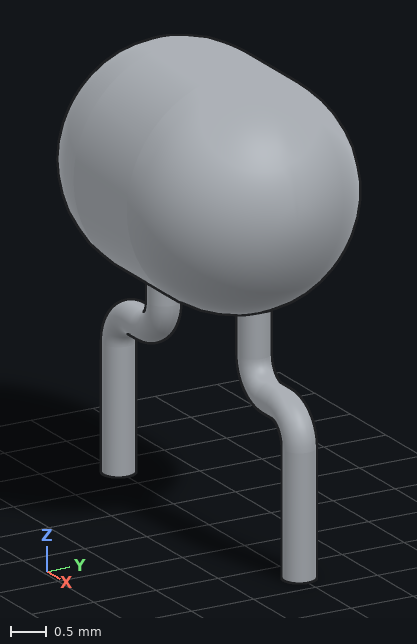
import cadquery as cq
import math

total_height = 6.94
body_diameter = 3.5
body_length = 5.0
lead_diameter = 0.5
foot_spacing = 5.08
entry_spacing = 2.54
bend_radius = 0.5
jog_height = 2.43

body_radius = body_diameter / 2
body_axis_height = total_height - body_radius
barrel_half_length = body_length / 2 - body_radius
foot_x = foot_spacing / 2
entry_x = entry_spacing / 2


def make_body():
    """Capsule along X: a cylindrical barrel with hemispherical ends."""
    half_length = body_length / 2
    arc_offset = body_radius * math.sqrt(0.5)
    arc_mid_x = barrel_half_length + arc_offset
    profile = (
        cq.Workplane("XZ", origin=(0, 0, body_axis_height))
        .moveTo(-half_length, 0)
        .threePointArc((-arc_mid_x, arc_offset), (-barrel_half_length, body_radius))
        .lineTo(barrel_half_length, body_radius)
        .threePointArc((arc_mid_x, arc_offset), (half_length, 0))
        .close()
    )
    return profile.revolve(360, (0, 0, 0), (1, 0, 0))


def make_lead(side, body):
    """Round wire with an S-shaped jog, ending against the body surface."""
    lower_bend_start = jog_height - bend_radius
    upper_bend_end = jog_height + bend_radius
    path = (
        cq.Workplane("XZ")
        .moveTo(side * foot_x, 0)
        .lineTo(side * foot_x, lower_bend_start)
        .tangentArcPoint((side * (foot_x - bend_radius), jog_height), relative=False)
        .lineTo(side * (entry_x + bend_radius), jog_height)
        .tangentArcPoint((side * entry_x, upper_bend_end), relative=False)
        .lineTo(side * entry_x, body_axis_height)
    )
    wire = cq.Workplane("XY", origin=(side * foot_x, 0, 0)).circle(lead_diameter / 2).sweep(path)
    return wire.cut(body)


body = make_body()
leads = [make_lead(side, body) for side in (-1, 1)]

result = cq.Compound.makeCompound([body.val(), *[lead.val() for lead in leads]])